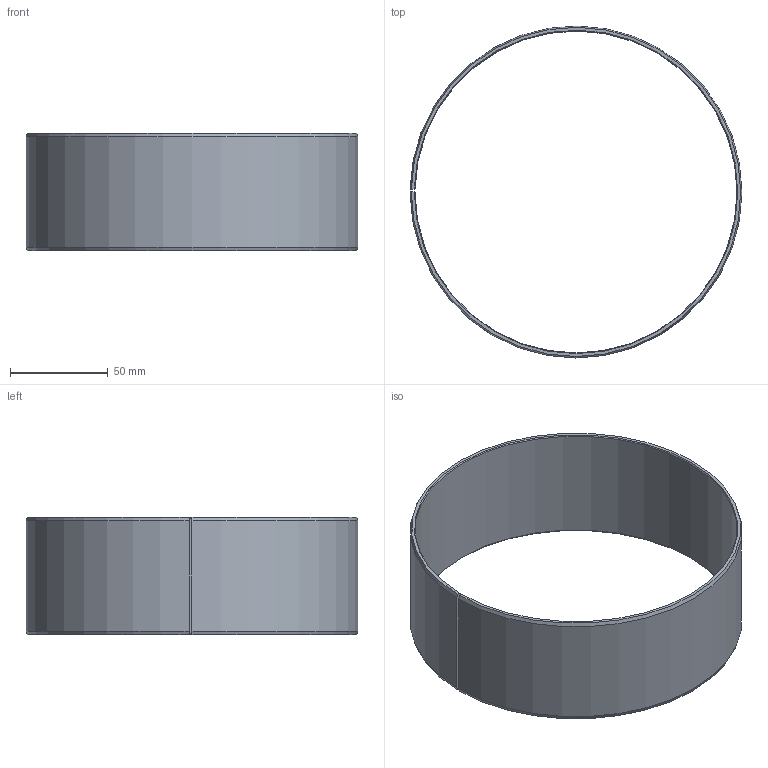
import cadquery as cq
import math

outer_diameter = 170.0
wall = 2.5
height = 60.0

outer_bevel_height = 1.8
outer_bevel_angle = 20.0
inner_bevel_height = 0.6
inner_bevel_angle = 30.0

split_angle = 1.0

outer_radius = outer_diameter / 2
inner_radius = outer_radius - wall
rim_outer_radius = outer_radius - outer_bevel_height * math.tan(math.radians(outer_bevel_angle))
rim_inner_radius = inner_radius + inner_bevel_height * math.tan(math.radians(inner_bevel_angle))


def make_ring():
    """Revolve the wall section, with its four corners bevelled, about Z."""
    section = [
        (inner_radius, inner_bevel_height),
        (rim_inner_radius, 0),
        (rim_outer_radius, 0),
        (outer_radius, outer_bevel_height),
        (outer_radius, height - outer_bevel_height),
        (rim_outer_radius, height),
        (rim_inner_radius, height),
        (inner_radius, height - inner_bevel_height),
    ]
    return cq.Workplane("XZ").polyline(section).close().revolve(360, (0, 0), (0, 1))


def make_split():
    """Full-height wedge from the ring axis that opens the wall on the -X side."""
    reach = outer_diameter
    wedge = [
        (0, 0),
        (-reach, 0),
        (-reach, reach * math.tan(math.radians(split_angle))),
    ]
    return cq.Workplane("XY").polyline(wedge).close().extrude(height)


result = make_ring().cut(make_split())